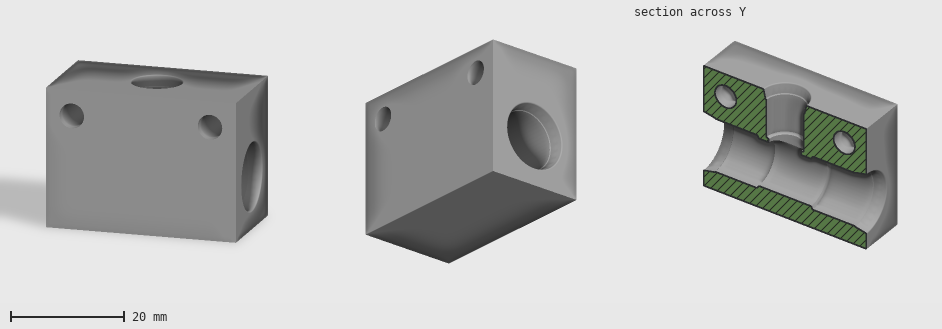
import cadquery as cq
import math

length = 34.92
width = 19.05
height = 25.4

mount_hole_dia = 4.5
mount_edge_distance = 4.76

cross_bore_dia = 9.92
cross_bore_z = 9.525
cross_thread_dia = 11.11
cross_thread_depth = 11.5
cross_mouth_dia = 12.4
cross_seat_depth = 2.4

top_bore_dia = 6.91
top_thread_dia = 7.94
top_thread_depth = 9.9
top_mouth_dia = 9.1
top_seat_depth = 1.9

seat_half_angle = 12.0
lead_in_angle = 45.0
drill_half_angle = 59.0
rim_radius = 0.25


def cone_drop(large_dia, small_dia, half_angle):
    """Axial length of a cone between two diameters."""
    return (large_dia - small_dia) / 2 / math.tan(math.radians(half_angle))


def port_cutter(bore_dia, bore_depth, thread_dia, thread_depth, mouth_dia, seat_depth):
    """Port going down from the origin: rounded rim, tapered seat, thread bore, cone, tap drill bore."""
    seat_angle = math.radians(seat_half_angle)
    seat_dia = mouth_dia - 2 * seat_depth * math.tan(seat_angle)
    lead_in_end = seat_depth + cone_drop(seat_dia, thread_dia, lead_in_angle)
    drill_start = thread_depth + cone_drop(thread_dia, bore_dia, drill_half_angle)

    tangent_length = rim_radius * math.tan((math.pi / 2 - seat_angle) / 2)
    rim_outer_radius = mouth_dia / 2 + tangent_length
    rim_inner_radius = mouth_dia / 2 - tangent_length * math.sin(seat_angle)
    rim_inner_depth = tangent_length * math.cos(seat_angle)

    profile = (
        cq.Workplane("XZ")
        .lineTo(rim_outer_radius, 0)
        .radiusArc((rim_inner_radius, -rim_inner_depth), -rim_radius)
        .lineTo(seat_dia / 2, -seat_depth)
        .lineTo(thread_dia / 2, -lead_in_end)
        .lineTo(thread_dia / 2, -thread_depth)
        .lineTo(bore_dia / 2, -drill_start)
        .lineTo(bore_dia / 2, -bore_depth)
        .lineTo(0, -bore_depth)
        .close()
    )
    return profile.revolve(360, (0, 0, 0), (0, 1, 0))


def block():
    return cq.Workplane("XY").box(length, width, height, centered=(True, True, False))


def mounting_holes():
    hole_x = length / 2 - mount_edge_distance
    hole_z = height - mount_edge_distance
    return (
        cq.Workplane("XZ", origin=(0, width / 2, 0))
        .pushPoints([(-hole_x, hole_z), (hole_x, hole_z)])
        .circle(mount_hole_dia / 2)
        .extrude(width)
    )


def top_port():
    cutter = port_cutter(
        top_bore_dia, height - cross_bore_z, top_thread_dia, top_thread_depth, top_mouth_dia, top_seat_depth
    )
    return cutter.translate((0, 0, height))


def cross_port(side):
    """Half of the cross bore; side is -1 for the -X end and 1 for the +X end."""
    cutter = port_cutter(
        cross_bore_dia, length / 2, cross_thread_dia, cross_thread_depth, cross_mouth_dia, cross_seat_depth
    )
    turned = cutter.rotate((0, 0, 0), (0, 1, 0), side * 90)
    return turned.translate((side * length / 2, 0, cross_bore_z))


result = block().cut(mounting_holes()).cut(top_port())
for end in (-1, 1):
    result = result.cut(cross_port(end))